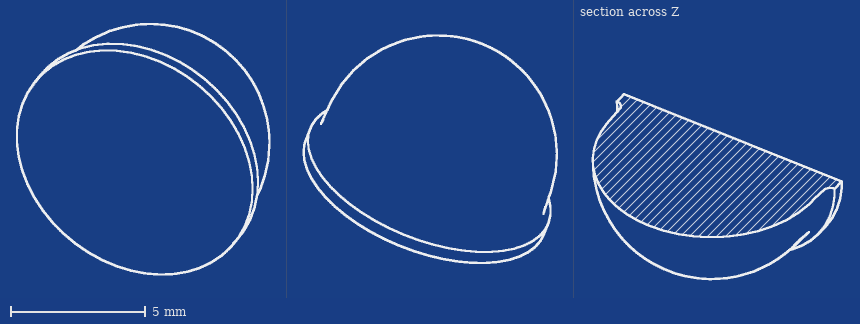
import cadquery as cq
import math

flange_radius = 4.765
flange_thickness = 0.51
total_height = 5.94
fillet_radius = 0.3
collar_base_radius = 4.46
dome_base_radius = 4.42
dome_base_height = 1.78

collar_base_height = flange_thickness + fillet_radius
fillet_foot_radius = collar_base_radius + fillet_radius
dome_rise = total_height - dome_base_height
sphere_radius = (dome_base_radius**2 + dome_rise**2) / (2 * dome_rise)
sphere_center_height = total_height - sphere_radius

fillet_offset = fillet_radius * (1 - math.sqrt(0.5))
fillet_middle = (collar_base_radius + fillet_offset, flange_thickness + fillet_offset)
dome_middle = (
    sphere_radius * math.sqrt(0.5),
    sphere_center_height + sphere_radius * math.sqrt(0.5),
)

profile = (
    cq.Workplane("XY")
    .lineTo(flange_radius, 0)
    .lineTo(flange_radius, flange_thickness)
    .lineTo(fillet_foot_radius, flange_thickness)
    .threePointArc(fillet_middle, (collar_base_radius, collar_base_height))
    .lineTo(dome_base_radius, dome_base_height)
    .threePointArc(dome_middle, (0, total_height))
    .close()
)

result = profile.revolve(360, (0, 0, 0), (0, 1, 0))